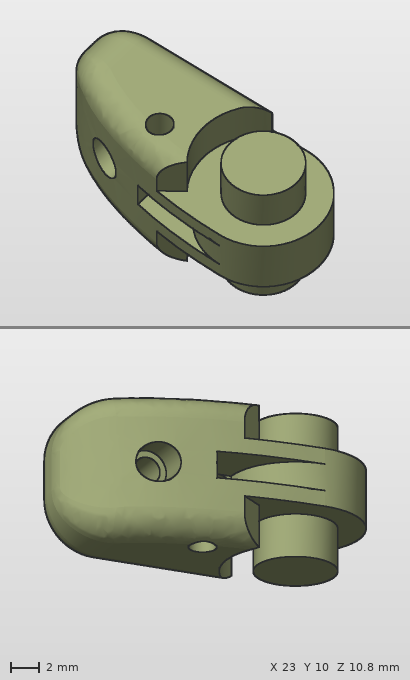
import cadquery as cq
import math

disc_radius = 5.002
disc_height = 4.37
pin_diameter = 6.0
overall_height = 10.8

overall_length = 23
nose_x = disc_radius - overall_length
back_y = disc_radius
curve_half_length = 18.25
curve_half_width = 8.0
curve_centre_y = curve_half_width - disc_radius
nose_radius = 4.0
edge_radius = 2.0

clearance_radius = 5.4
front_stop_angle = 217
back_stop_angle = 122

through_rear_y = 2 * back_y
through_front_y = -2 * back_y
slot_left_x = -8.0
slot_height = 2.0
slot_round_x = -6.0
small_hole_diameter = 2.0
cord_hole_x = -12.0
counterbore_diameter = 3
counterbore_floor_y = -1.01
cross_hole_x = slot_left_x
cross_hole_y = -1.7


def centred_cylinder(radius, height):
    """Cylinder on the Z axis, symmetric about the XY plane."""
    return cq.Workplane("XY").circle(radius).extrude(height / 2, both=True)


def cylinder_along_y(radius, x, y_start, y_end):
    """Cylinder parallel to Y at mid height."""
    plane = cq.Workplane("XZ", origin=(x, y_start, 0))
    return plane.circle(radius).extrude(y_start - y_end)


def curved_wall_point(x):
    """Point of the elliptical front wall, whose ellipse is tangent to the disc at x = 0."""
    return (x, curve_centre_y - curve_half_width * math.sqrt(1 - (x / curve_half_length) ** 2))


def make_body():
    """Lever with an elliptical front wall and rounded edges, ending at the pin axis."""
    nose_corner = curved_wall_point(nose_x)
    end_angle = 270
    start_angle = 180 + math.degrees(math.acos(-nose_x / curve_half_length))
    body = (
        cq.Workplane("XY", origin=(0, 0, -overall_height / 2))
        .moveTo(0, back_y)
        .lineTo(nose_x, back_y)
        .lineTo(*nose_corner)
        .ellipseArc(curve_half_length, curve_half_width, start_angle, end_angle, startAtCurrent=True)
        .close()
        .extrude(overall_height)
    )
    body = body.faces("<X").edges("|Y").fillet(nose_radius)
    pivot_end = body.faces(">X").edges("|Z").vals()
    front_wall = body.faces(cq.selectors.NearestToPointSelector((*curved_wall_point(nose_x / 2), 0)))
    rim = body.faces(">Y").edges().add(front_wall.edges())
    rounded = [edge for edge in rim.vals() if not any(edge.isSame(end) for end in pivot_end)]
    return body.newObject(rounded).fillet(edge_radius)


def make_ear_clearance():
    """Round recess above and below the disc, opened between the two radial stop faces."""
    reach = 2 * overall_length
    sector = [(0, 0)]
    for angle in (back_stop_angle, 0, front_stop_angle):
        turn = math.radians(angle)
        sector.append((reach * math.cos(turn), reach * math.sin(turn)))
    opening = cq.Workplane("XY").polyline(sector).close().extrude(overall_height, both=True)
    recess = centred_cylinder(clearance_radius, 2 * overall_height).union(opening)
    return recess.cut(centred_cylinder(reach, disc_height))


def slot_block(right_x, rear_y):
    """Block of slot height from the slot's left end to right_x, open to the front."""
    block = cq.Workplane("XY", origin=(slot_left_x, through_front_y, 0))
    return block.box(
        right_x - slot_left_x, rear_y - through_front_y, slot_height, centered=(False, False, True)
    )


def make_slot():
    """Slot from the front wall that leaves the back wall with a round right end."""
    square_part = slot_block(slot_round_x, through_rear_y)
    front_part = slot_block(0, 0)
    round_end = cylinder_along_y(slot_height / 2, slot_round_x, through_rear_y, through_front_y)
    return square_part.union(front_part).union(round_end)


def make_cord_hole():
    """Hole through the lever along Y with a counterbore from the front."""
    hole = cylinder_along_y(small_hole_diameter / 2, cord_hole_x, through_rear_y, through_front_y)
    counterbore = cylinder_along_y(
        counterbore_diameter / 2, cord_hole_x, counterbore_floor_y, through_front_y
    )
    return hole.union(counterbore)


cross_hole = centred_cylinder(small_hole_diameter / 2, 2 * overall_height)
cross_hole = cross_hole.translate((cross_hole_x, cross_hole_y, 0))

disc = centred_cylinder(disc_radius, disc_height)
pin = centred_cylinder(pin_diameter / 2, overall_height)

body = make_body().cut(make_ear_clearance()).cut(make_slot()).cut(make_cord_hole()).cut(cross_hole)
result = body.union(disc).union(pin)